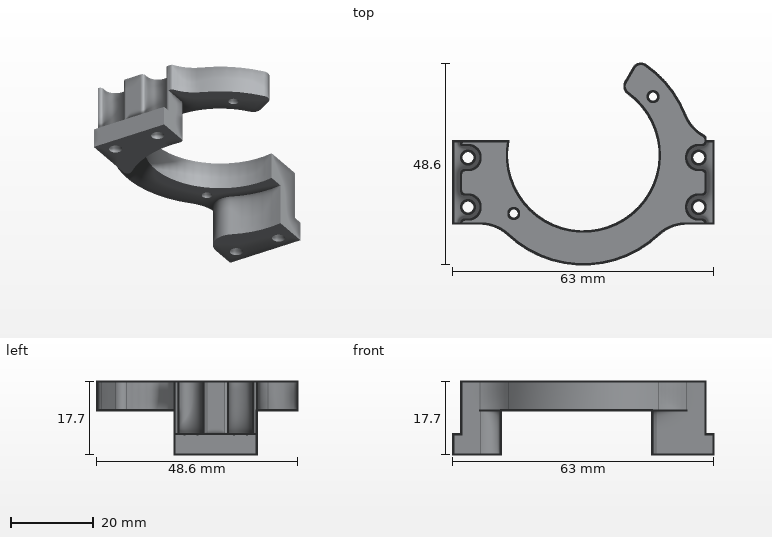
import cadquery as cq
import math

height = 17.7
ring_thickness = 7.0
ring_bottom = height - ring_thickness
inner_radius = 18.45
outer_radius = 26.45
arm_angle = math.radians(60)
arm_corner_radius = 2.0
blend_radius = 10.0

foot_half_length = 31.5
foot_thickness = 5.0
wall_x = 29.55
back_y = 3.4
front_y = -16.6
post_clearance_radius = 22.5
left_post_corner_radius = 5.0
right_post_corner_radius = 1.0

screw_x = 27.9
screw_spacing = 12.0
screw_diameter = 3.2
relief_radius = 3.055
relief_corner_radius = 0.8
lip_inner_radius = 0.2
lip_outer_radius = 0.7
pin_diameter = 2.5
pin_circle_radius = 22.0
pin_angles = (40, 220)

middle_y = (back_y + front_y) / 2
screw_ys = (middle_y - screw_spacing / 2, middle_y + screw_spacing / 2)


def polar(radius, angle):
    return (radius * math.cos(angle), radius * math.sin(angle))


def blend_angle(line_distance):
    """Angle above the X axis where a blend to a line parallel to X touches the ring."""
    return math.asin((line_distance + blend_radius) / (outer_radius + blend_radius))


def make_ring():
    """Ring with both mounting ends, bounded outside by the relief walls."""
    centre_distance = outer_radius + blend_radius
    front_angle = blend_angle(-front_y)
    front_x, front_touch_y = polar(outer_radius, front_angle)
    front_centre_x = centre_distance * math.cos(front_angle)
    front_mid_angle = (front_angle + math.pi / 2) / 2
    front_mid_x = front_centre_x - blend_radius * math.cos(front_mid_angle)
    front_mid_y = front_y - blend_radius + blend_radius * math.sin(front_mid_angle)

    back_angle = blend_angle(back_y)
    back_centre_x, back_centre_y = polar(centre_distance, back_angle)
    back_end_angle = math.acos((back_centre_x - wall_x) / blend_radius)
    back_mid_x, back_mid_y = polar(blend_radius, (back_angle + back_end_angle) / 2)
    back_mid_point = (back_centre_x - back_mid_x, back_centre_y - back_mid_y)
    outer_mid_point = polar(outer_radius, (back_angle + arm_angle) / 2)
    tip_y = back_centre_y - blend_radius * math.sin(back_end_angle)

    bore_start_x = -math.sqrt(inner_radius**2 - back_y**2)
    ring = (
        cq.Workplane("XY", origin=(0, 0, ring_bottom))
        .moveTo(-wall_x, back_y)
        .lineTo(-wall_x, front_y)
        .lineTo(-front_centre_x, front_y)
        .threePointArc((-front_mid_x, front_mid_y), (-front_x, -front_touch_y))
        .threePointArc((0, -outer_radius), (front_x, -front_touch_y))
        .threePointArc((front_mid_x, front_mid_y), (front_centre_x, front_y))
        .lineTo(wall_x, front_y)
        .lineTo(wall_x, tip_y)
        .threePointArc(back_mid_point, polar(outer_radius, back_angle))
        .threePointArc(outer_mid_point, polar(outer_radius, arm_angle))
        .lineTo(*polar(inner_radius, arm_angle))
        .threePointArc((0, -inner_radius), (bore_start_x, back_y))
        .close()
        .extrude(ring_thickness)
    )
    for radius in (inner_radius, outer_radius):
        corner = (*polar(radius, arm_angle), height - ring_thickness / 2)
        ring = ring.edges(cq.NearestToPointSelector(corner)).fillet(arm_corner_radius)
    tip = (wall_x, tip_y, height - ring_thickness / 2)
    return ring.edges(cq.NearestToPointSelector(tip)).fillet(relief_corner_radius)


def box_between(x_a, x_b, z_low, z_high):
    """Block filling the depth of a mounting end."""
    return (
        cq.Workplane("XY", origin=((x_a + x_b) / 2, middle_y, z_low))
        .rect(abs(x_b - x_a), back_y - front_y)
        .extrude(z_high - z_low)
    )


def make_post(side, front_radius, back_radius=0):
    """Foot and post under one end, hollowed around the ring axis, with rounded inner corners."""
    clearance = cq.Workplane("XY").circle(post_clearance_radius).extrude(ring_bottom)
    post = box_between(side * wall_x, 0, 0, ring_bottom).cut(clearance)
    for corner_y, radius in ((front_y, front_radius), (back_y, back_radius)):
        if radius > 0:
            corner_x = side * math.sqrt(post_clearance_radius**2 - corner_y**2)
            corner = (corner_x, corner_y, ring_bottom / 2)
            post = post.edges(cq.NearestToPointSelector(corner)).fillet(radius)
    foot = box_between(side * wall_x, side * foot_half_length, 0, foot_thickness)
    return post.union(foot)


def make_relief(side, y):
    """Round-ended slot above a screw hole, open to the outside."""
    slot_length = foot_half_length - screw_x
    above_foot = cq.Workplane("XY", origin=(0, 0, foot_thickness))
    relief_height = height - foot_thickness
    round_end = above_foot.center(side * screw_x, y).circle(relief_radius).extrude(relief_height)
    opening = (
        above_foot.center(side * (screw_x + slot_length / 2), y)
        .rect(slot_length, 2 * relief_radius)
        .extrude(relief_height)
    )
    return round_end.union(opening)


def round_wall_edge(body, x, y, radius):
    """Round the upright wall edges standing on the foot at (x, y)."""
    reach = 0.05
    box = cq.selectors.BoxSelector(
        (x - reach, y - reach, foot_thickness), (x + reach, y + reach, height)
    )
    return body.edges("|Z").edges(box).fillet(radius)


result = (
    make_ring()
    .union(make_post(-1, left_post_corner_radius))
    .union(make_post(1, right_post_corner_radius, right_post_corner_radius))
)

for side in (-1, 1):
    for screw_y in screw_ys:
        result = result.cut(make_relief(side, screw_y))

back_relief_y = screw_ys[1] + relief_radius
for side in (-1, 1):
    for screw_y in screw_ys:
        for edge_y in (screw_y - relief_radius, screw_y + relief_radius):
            on_lip = side < 0 and edge_y == back_relief_y
            edge_radius = lip_inner_radius if on_lip else relief_corner_radius
            result = round_wall_edge(result, side * wall_x, edge_y, edge_radius)
result = round_wall_edge(result, -wall_x, back_y, lip_outer_radius)

screw_points = [(side * screw_x, y) for side in (-1, 1) for y in screw_ys]
pin_points = [polar(pin_circle_radius, math.radians(angle)) for angle in pin_angles]
for points, diameter in ((screw_points, screw_diameter), (pin_points, pin_diameter)):
    holes = cq.Workplane("XY").pushPoints(points).circle(diameter / 2).extrude(height)
    result = result.cut(holes)